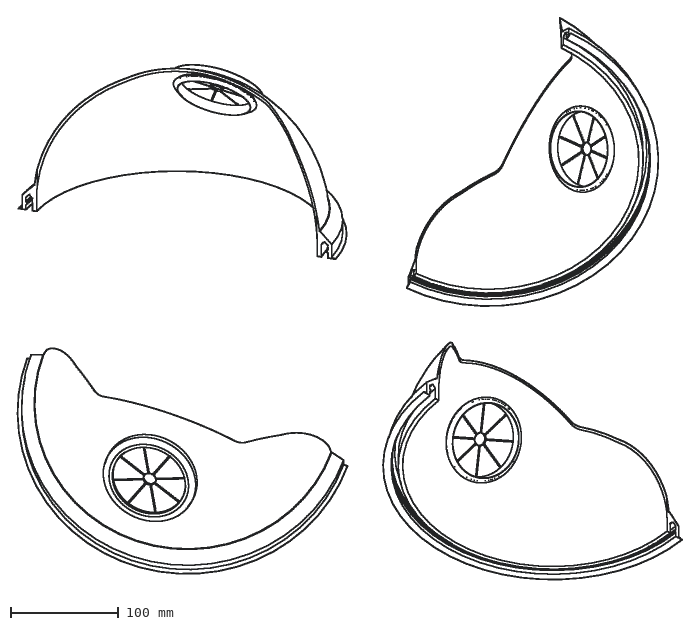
import cadquery as cq
import math

dome_radius = 142.0
wall = 2.8
inner_radius = dome_radius - wall
equator_z = 12.5

flange_radius = 157.5
flange_thickness = 1.5
rim_radius = 153.7
rim_height = 14.5
rim_slope_top_z = rim_height + rim_radius - dome_radius
rim_overlap = wall / 2

groove_inner_radius = 143.3
groove_outer_radius = 150.0
groove_middle_radius = (groove_inner_radius + groove_outer_radius) / 2
groove_shoulder_z = 12.5
groove_peak_z = groove_shoulder_z + groove_outer_radius - groove_middle_radius
bead_depth = 1.0
bead_bottom_z = 4.7
bead_top_z = 8.5
bead_slope_height = 1.0

front_y = 50.5
front_corner_x = 70.0
front_fillet = 15.7
slant_end = (100.5, 25.2)
tail_middle = (117.5, 11.0)
tail_end = (138.5, 0.0)

valve_elevation = math.radians(41.5)

valve_flange_diameter = 88.5
valve_flange_top = 140.5
valve_diameter = 76.2
valve_bore = 70.0
valve_top = 143.0
barb_diameter = 80.0
barb_top = 131.5
barb_bottom = 128.0
barb_tip_width = 0.3
membrane_bottom = 138.0
membrane_top = 140.0
centre_hole_diameter = 12.0
slit_count = 8
slit_width = 1.0
slit_end_radius = 33.7

clearance = 31.5

valve_plane = cq.Plane(
    origin=(0, 0, equator_z),
    xDir=(1, 0, 0),
    normal=(0, math.cos(valve_elevation), math.sin(valve_elevation)),
)


def round_bar(plane, diameter, bottom, top):
    """Cylinder on the plane's axis between two heights along that axis."""
    return cq.Workplane(plane).workplane(offset=bottom).circle(diameter / 2).extrude(top - bottom)


def cone_frustum(plane, bottom_diameter, bottom, top_diameter, top):
    """Truncated cone on the plane's axis between two heights along that axis."""
    return (
        cq.Workplane(plane)
        .workplane(offset=bottom)
        .circle(bottom_diameter / 2)
        .workplane(offset=top - bottom)
        .circle(top_diameter / 2)
        .loft(ruled=True)
    )


def domed_solid(radius):
    """Hemisphere standing on a cylinder of the same radius."""
    arc_middle = radius * math.sqrt(0.5)
    return (
        cq.Workplane("XZ")
        .lineTo(radius, 0)
        .lineTo(radius, equator_z)
        .threePointArc((arc_middle, equator_z + arc_middle), (0, equator_z + radius))
        .close()
        .revolve(360, (0, 0), (0, 1))
    )


def make_rim():
    """Rim ring with its thin tapered flange and 45 degree top slope."""
    root_radius = dome_radius - rim_overlap
    profile = [
        (root_radius, 0),
        (flange_radius, 0),
        (rim_radius, flange_thickness),
        (rim_radius, rim_height),
        (dome_radius, rim_slope_top_z),
        (root_radius, rim_slope_top_z),
    ]
    return cq.Workplane("XZ").polyline(profile).close().revolve(360, (0, 0), (0, 1))


def make_groove():
    """Groove space under the rim, narrowed by the bead on its outer wall."""
    bead_radius = groove_outer_radius - bead_depth
    profile = [
        (groove_inner_radius, 0),
        (groove_outer_radius, 0),
        (groove_outer_radius, bead_bottom_z),
        (bead_radius, bead_bottom_z + bead_slope_height),
        (bead_radius, bead_top_z - bead_slope_height),
        (groove_outer_radius, bead_top_z),
        (groove_outer_radius, groove_shoulder_z),
        (groove_middle_radius, groove_peak_z),
        (groove_inner_radius, groove_shoulder_z),
    ]
    return cq.Workplane("XZ").polyline(profile).close().revolve(360, (0, 0), (0, 1))


def make_front_trim():
    """Vertical prism covering everything behind the front opening."""
    side_x = flange_radius + clearance
    height = equator_z + dome_radius + clearance
    prism = (
        cq.Workplane("XY")
        .moveTo(-front_corner_x, front_y)
        .lineTo(front_corner_x, front_y)
        .lineTo(*slant_end)
        .threePointArc(tail_middle, tail_end)
        .lineTo(side_x, 0)
        .lineTo(side_x, side_x)
        .lineTo(-side_x, side_x)
        .lineTo(-side_x, 0)
        .lineTo(-tail_end[0], 0)
        .threePointArc((-tail_middle[0], tail_middle[1]), (-slant_end[0], slant_end[1]))
        .close()
        .extrude(height)
    )
    corner_reach = front_corner_x + 3
    front_corners = cq.selectors.BoxSelector(
        (-corner_reach, front_y - 3, 0), (corner_reach, front_y + 3, height)
    )
    return prism.edges("|Z").edges(front_corners).fillet(front_fillet)


def make_dome():
    """Half dome with its rim and the bore that holds the valve."""
    bore = round_bar(valve_plane, valve_diameter, barb_bottom - clearance, valve_top + clearance)
    return (
        domed_solid(dome_radius)
        .union(make_rim())
        .cut(domed_solid(inner_radius))
        .cut(make_groove())
        .cut(bore)
        .intersect(make_front_trim())
    )


def make_valve():
    """Flanged and barbed ring with a membrane cut into petals around a centre hole."""
    neck = round_bar(valve_plane, valve_diameter, barb_top, valve_top)
    barb_tip_diameter = valve_bore + 2 * barb_tip_width
    barb = cone_frustum(valve_plane, barb_tip_diameter, barb_bottom, barb_diameter, barb_top)

    flange_edge = round_bar(valve_plane, valve_flange_diameter, barb_top, valve_flange_top)
    flange_slope = cone_frustum(
        valve_plane, valve_flange_diameter, valve_flange_top, valve_diameter, valve_top
    )
    flange = flange_edge.union(flange_slope).cut(domed_solid(dome_radius))

    bore = round_bar(valve_plane, valve_bore, barb_bottom, valve_top)
    membrane = round_bar(valve_plane, valve_bore, membrane_bottom, membrane_top)
    valve = neck.union(flange).union(barb).cut(bore).union(membrane)
    valve = valve.cut(round_bar(valve_plane, centre_hole_diameter, membrane_bottom, membrane_top))

    slit_step = 360 / slit_count
    for index in range(slit_count):
        slit_plane = valve_plane.rotated((0, 0, slit_step * (index + 0.5)))
        slit = (
            cq.Workplane(slit_plane)
            .workplane(offset=membrane_bottom)
            .center(slit_end_radius / 2, 0)
            .rect(slit_end_radius, slit_width)
            .extrude(membrane_top - membrane_bottom)
        )
        valve = valve.cut(slit)
    return valve


dome = make_dome()
valve = make_valve()
result = cq.Compound.makeCompound([dome.solids().val(), valve.solids().val()])